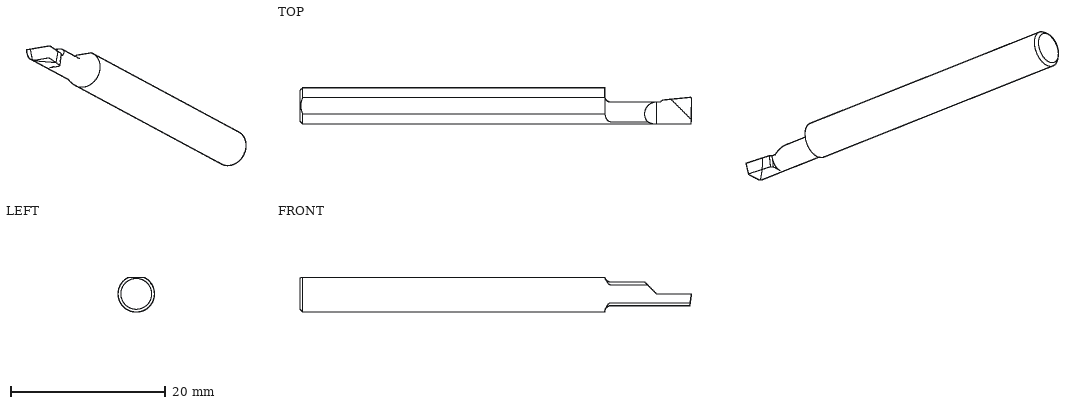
import cadquery as cq
import math


total_length = 50.8
shank_diameter = 4.75
shank_radius = shank_diameter / 2
height_across_flat = 4.5
flat_z = height_across_flat - shank_radius
rear_chamfer = 0.375

shank_length = 39.55
neck_radius = 1.55
neck_side_y = 0.5
neck_axis_y = neck_side_y - neck_radius
neck_fillet = 0.75

rake_face_z = 0.0
ramp_foot_x = 46.25
nose_y = 1.14
nose_radius = 0.2
flank_start_x = 47.0
flank_start_y = 0.76
flank_step = flank_start_y - neck_side_y

end_edge_angle = 1.0
end_relief_angle = 8.0
flank_relief_angle = 8.0

joint_start_x = 48.1

margin = 5.0


def shank_round():
    """Full-length round of the shank diameter, with the top flat."""
    flat_cut = cq.Workplane("XY", origin=(total_length / 2, 0, flat_z)).box(
        total_length + 2 * margin, 2 * shank_diameter, margin, centered=(True, True, False)
    )
    cylinder = cq.Workplane("YZ").circle(shank_radius).extrude(total_length)
    return cylinder.faces("<X").chamfer(rear_chamfer).cut(flat_cut)


def neck_round():
    """Solid of revolution about the neck axis: the neck, flaring by its fillet into the shank face."""
    flare_radius = neck_radius + neck_fillet
    fillet_end_x = shank_length + neck_fillet
    fillet_middle = (
        fillet_end_x - neck_fillet * math.sqrt(0.5),
        flare_radius - neck_fillet * math.sqrt(0.5),
    )
    return (
        cq.Workplane("XZ", origin=(0, neck_axis_y, 0))
        .moveTo(shank_length, 0)
        .lineTo(shank_length, flare_radius)
        .threePointArc(fillet_middle, (fillet_end_x, neck_radius))
        .lineTo(total_length, neck_radius)
        .lineTo(total_length, 0)
        .close()
        .revolve(360, (0, 0, 0), (1, 0, 0))
    )


def head_block():
    """Block widening the head on its +Y side, its flank leaning inwards below the cutting edge."""
    lean = neck_radius * math.tan(math.radians(flank_relief_angle))

    def outline(z, inset):
        return [
            cq.Vector(x, y, z)
            for x, y in (
                (flank_start_x - flank_step, neck_axis_y),
                (flank_start_x - flank_step, neck_side_y - inset),
                (flank_start_x, flank_start_y - inset),
                (total_length, nose_y - inset),
                (total_length, neck_axis_y),
            )
        ]

    top = cq.Wire.makePolygon(outline(rake_face_z, 0), close=True)
    bottom = cq.Wire.makePolygon(outline(-neck_radius, lean), close=True)
    return cq.Workplane(obj=cq.Solid.makeLoft([top, bottom], True))


def ramp_cut():
    """Everything above the rake face and the 45 degree ramp."""
    return (
        cq.Workplane("XZ", origin=(0, margin, 0))
        .moveTo(ramp_foot_x, rake_face_z)
        .lineTo(total_length + margin, rake_face_z)
        .lineTo(total_length + margin, margin)
        .lineTo(ramp_foot_x - margin, rake_face_z + margin)
        .close()
        .extrude(2 * margin)
    )


def end_cut():
    """Everything beyond the end face, which falls back from the nose towards -Y and -Z."""
    return (
        cq.Workplane("XY")
        .box(margin, 4 * margin, 4 * margin, centered=(False, True, True))
        .rotate((0, 0, 0), (0, 1, 0), end_relief_angle)
        .rotate((0, 0, 0), (0, 0, 1), -end_edge_angle)
        .translate((total_length, nose_y, rake_face_z))
    )


def tip_region():
    """Prism on the nose side of the vertical 45 degree joint."""
    flank_slope = (nose_y - flank_start_y) / (total_length - flank_start_x)
    joint_start_y = flank_start_y + flank_slope * (joint_start_x - flank_start_x)
    return (
        cq.Workplane("XY", origin=(0, 0, -margin))
        .moveTo(joint_start_x - margin, joint_start_y + margin)
        .lineTo(joint_start_x + margin, joint_start_y - margin)
        .lineTo(joint_start_x + margin, joint_start_y + margin)
        .close()
        .extrude(2 * margin)
    )


bar_round = shank_round()
shank_span = cq.Workplane("XY").box(
    shank_length, 2 * shank_diameter, 2 * shank_diameter, centered=(False, True, True)
)
shank = bar_round.intersect(shank_span)
neck_and_head = neck_round().union(head_block()).intersect(bar_round)
whole_bar = shank.union(neck_and_head).cut(ramp_cut()).cut(end_cut())

bar = whole_bar.cut(tip_region())
sharp_tip = whole_bar.intersect(tip_region())
nose_edge = cq.selectors.NearestToPointSelector((total_length, nose_y, -neck_radius / 2))
cutting_tip = sharp_tip.edges(nose_edge).fillet(nose_radius)

result = cq.Compound.makeCompound([bar.val(), cutting_tip.val()])